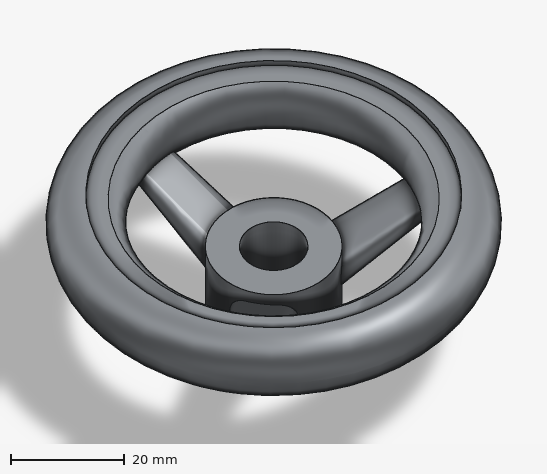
import cadquery as cq
import math

outer_diameter = 80.0
rim_section_diameter = 14.0
rim_center_height = 22.0
seat_depth = 1.2

hub_diameter = 24.0
bore_diameter = 12.0
hub_height = 16.0

spoke_count = 3
first_spoke_angle = 90.0
spoke_flat_width = 6.5
spoke_axis_height = 4.0
spoke_thickness_at_axis = 7.4
spoke_thickness_at_rim = 2.0

rim_section_radius = rim_section_diameter / 2
rim_center_radius = outer_diameter / 2 - rim_section_radius
rim_top = rim_center_height + rim_section_radius


def make_rim():
    rim = (
        cq.Workplane("XZ")
        .center(rim_center_radius, rim_center_height)
        .circle(rim_section_radius)
        .revolve(360, (-rim_center_radius, 0), (-rim_center_radius, 1))
    )
    seat = (
        cq.Workplane("XY")
        .workplane(offset=rim_top - seat_depth)
        .circle(rim_center_radius)
        .extrude(seat_depth)
    )
    return rim.cut(seat)


def make_hub():
    return cq.Workplane("XY").circle(hub_diameter / 2).extrude(hub_height)


def make_spoke(angle):
    """Loft a bar along +X between two rounded sections square to its axis, then turn it about Z."""
    rise = rim_center_height - spoke_axis_height
    length = math.hypot(rim_center_radius, rise)
    section_plane = cq.Plane(
        origin=(0, 0, spoke_axis_height),
        xDir=(0, 1, 0),
        normal=(rim_center_radius, 0, rise),
    )
    spoke = (
        cq.Workplane(section_plane)
        .slot2D(spoke_flat_width + spoke_thickness_at_axis, spoke_thickness_at_axis)
        .workplane(offset=length)
        .slot2D(spoke_flat_width + spoke_thickness_at_rim, spoke_thickness_at_rim)
        .loft(ruled=True)
    )
    return spoke.rotate((0, 0, 0), (0, 0, 1), angle)


def make_bore():
    return cq.Workplane("XY").circle(bore_diameter / 2).extrude(hub_height)


handwheel = make_hub().union(make_rim())
for index in range(spoke_count):
    handwheel = handwheel.union(make_spoke(first_spoke_angle + index * 360 / spoke_count))

result = handwheel.cut(make_bore())